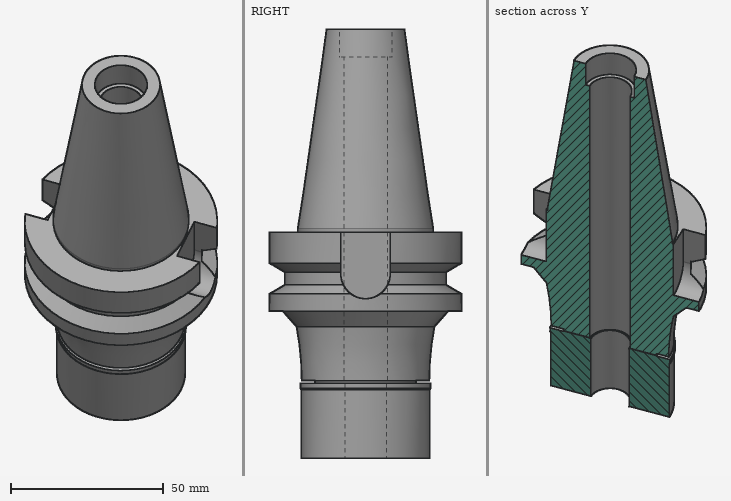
import cadquery as cq

total_height = 140.4
nut_height = 24.5
neck_top = 25.4
collar_top = 43.1
flange_bottom = 48.2
flange_top = 74.0
gauge_height = 75.3

taper_top_radius = 12.8
gauge_radius = 22.2

flange_radius = 31.52
groove_radius = 26.5
lower_rim_top = 53.8
groove_bottom = 56.7
groove_top = 61.0
upper_rim_bottom = 63.9

cone_top_radius = 27.1
collar_top_radius = 22.6
collar_radius = 20.9
collar_mid_radius = 21.3
collar_mid_height = (collar_top + neck_top) / 2
neck_radius = 16.5

slot_width = 16.1
slot_floor = 22.6
slot_bottom = 52.2

socket_radius = 8.5
socket_depth = 9.0
holder_bore_radius = 7.2
nut_bore_radius = 6.7

nut_radius = 21.0
nut_rim_radius = 21.3
nut_rim_bottom = 22.9
nut_chamfer_bottom = 22.5


def make_drive_slot():
    """Round-bottomed slot on the +X side, open at the top of the flange."""
    round_radius = slot_width / 2
    round_center = slot_bottom + round_radius
    return (
        cq.Workplane("YZ", origin=(slot_floor, 0, 0))
        .moveTo(-round_radius, flange_top)
        .lineTo(-round_radius, round_center)
        .threePointArc((0, slot_bottom), (round_radius, round_center))
        .lineTo(round_radius, flange_top)
        .close()
        .extrude(flange_radius)
    )


def make_holder():
    """Taper, grooved flange and collar, with a stepped bore and two drive slots."""
    body = (
        cq.Workplane("XZ")
        .moveTo(0, nut_height)
        .lineTo(neck_radius, nut_height)
        .lineTo(neck_radius, neck_top)
        .lineTo(collar_radius, neck_top)
        .threePointArc((collar_mid_radius, collar_mid_height), (collar_top_radius, collar_top))
        .lineTo(cone_top_radius, flange_bottom)
        .lineTo(flange_radius, flange_bottom)
        .lineTo(flange_radius, lower_rim_top)
        .lineTo(groove_radius, groove_bottom)
        .lineTo(groove_radius, groove_top)
        .lineTo(flange_radius, upper_rim_bottom)
        .lineTo(flange_radius, flange_top)
        .lineTo(gauge_radius, flange_top)
        .lineTo(gauge_radius, gauge_height)
        .lineTo(taper_top_radius, total_height)
        .lineTo(0, total_height)
        .close()
        .revolve(360, (0, 0, 0), (0, 1, 0))
    )
    bore = cq.Workplane("XY").circle(holder_bore_radius).extrude(total_height)
    socket = (
        cq.Workplane("XY", origin=(0, 0, total_height - socket_depth))
        .circle(socket_radius)
        .extrude(socket_depth)
    )
    body = body.cut(bore).cut(socket)
    for angle in (0, 180):
        body = body.cut(make_drive_slot().rotate((0, 0, 0), (0, 0, 1), angle))
    return body


def make_nut():
    """Cylindrical clamping nut with a slim rim, chamfered underneath, and a through bore."""
    return (
        cq.Workplane("XZ")
        .moveTo(nut_bore_radius, 0)
        .lineTo(nut_radius, 0)
        .lineTo(nut_radius, nut_chamfer_bottom)
        .lineTo(nut_rim_radius, nut_rim_bottom)
        .lineTo(nut_rim_radius, nut_height)
        .lineTo(nut_bore_radius, nut_height)
        .close()
        .revolve(360, (0, 0, 0), (0, 1, 0))
    )


holder = make_holder()
nut = make_nut()

result = cq.Compound.makeCompound([holder.val(), nut.val()])